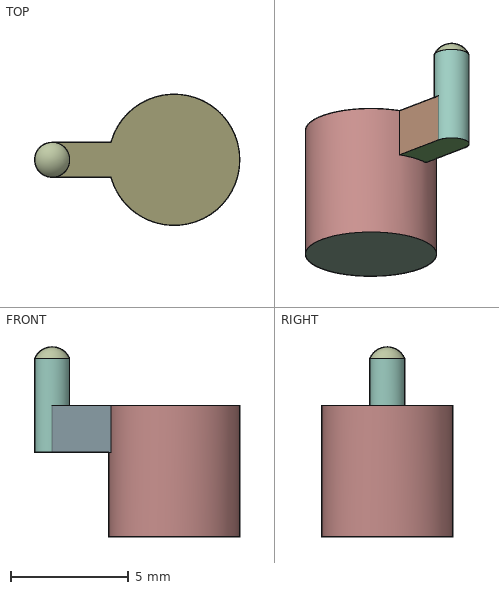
import cadquery as cq
import math

body_diameter = 5.6
body_height = 5.6
overall_length = 8.75
overall_height = 8.1
pin_diameter = 1.5
arm_height = 2.0
dome_height = 0.5

body_radius = body_diameter / 2
pin_radius = pin_diameter / 2
pin_x = body_radius - overall_length + pin_radius
arm_bottom = body_height - arm_height
dome_base = overall_height - dome_height

dome_radius = (pin_radius**2 + dome_height**2) / (2 * dome_height)
dome_center_z = overall_height - dome_radius
dome_mid_angle = (math.pi / 2 + math.asin((dome_base - dome_center_z) / dome_radius)) / 2
dome_mid_point = (
    dome_radius * math.cos(dome_mid_angle),
    dome_center_z + dome_radius * math.sin(dome_mid_angle),
)


def make_body():
    return cq.Workplane("XY").circle(body_radius).extrude(body_height)


def make_arm():
    """Flat arm from the pin axis to the body axis, flush with the body top."""
    return (
        cq.Workplane("XY", origin=(0, 0, arm_bottom))
        .center(pin_x / 2, 0)
        .rect(-pin_x, pin_diameter)
        .extrude(arm_height)
    )


def make_pin():
    """Upright pin with a shallow spherical dome, revolved about its own axis."""
    return (
        cq.Workplane("XZ", origin=(pin_x, 0, 0))
        .moveTo(0, arm_bottom)
        .lineTo(pin_radius, arm_bottom)
        .lineTo(pin_radius, dome_base)
        .threePointArc(dome_mid_point, (0, overall_height))
        .close()
        .revolve(360, (0, 0, 0), (0, 1, 0))
    )


result = make_body().union(make_arm()).union(make_pin())